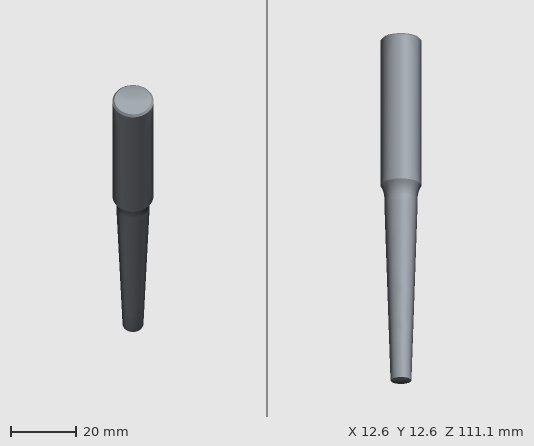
import cadquery as cq
import math

total_length = 111.1
shank_radius = 6.3
neck_radius = 5.1
tip_radius = 3.2

taper_top = 57.2
neck_top = 59.2
shank_bottom = 63.5

end_chamfer = 0.7


def make_cutter():
    """Tapered cutting end, widening from the tip up to the neck."""
    return (
        cq.Workplane("XZ")
        .moveTo(0, 0)
        .lineTo(tip_radius, 0)
        .lineTo(neck_radius, taper_top)
        .lineTo(0, taper_top)
        .close()
        .revolve(360, (0, 0, 0), (0, 1, 0))
    )


def make_shank():
    """Shank with a short neck and a concave flare that leaves the neck tangentially."""
    flare_width = shank_radius - neck_radius
    flare_height = shank_bottom - neck_top
    flare_radius = (flare_width**2 + flare_height**2) / (2 * flare_width)
    half_sweep = math.asin(flare_height / flare_radius) / 2
    flare_middle = (
        neck_radius + flare_radius * (1 - math.cos(half_sweep)),
        neck_top + flare_radius * math.sin(half_sweep),
    )
    return (
        cq.Workplane("XZ")
        .moveTo(0, taper_top)
        .lineTo(neck_radius, taper_top)
        .lineTo(neck_radius, neck_top)
        .threePointArc(flare_middle, (shank_radius, shank_bottom))
        .lineTo(shank_radius, total_length)
        .lineTo(0, total_length)
        .close()
        .revolve(360, (0, 0, 0), (0, 1, 0))
        .faces(">Z")
        .chamfer(end_chamfer)
    )


cutter = make_cutter()
shank = make_shank()

result = cq.Compound.makeCompound([cutter.val(), shank.val()])